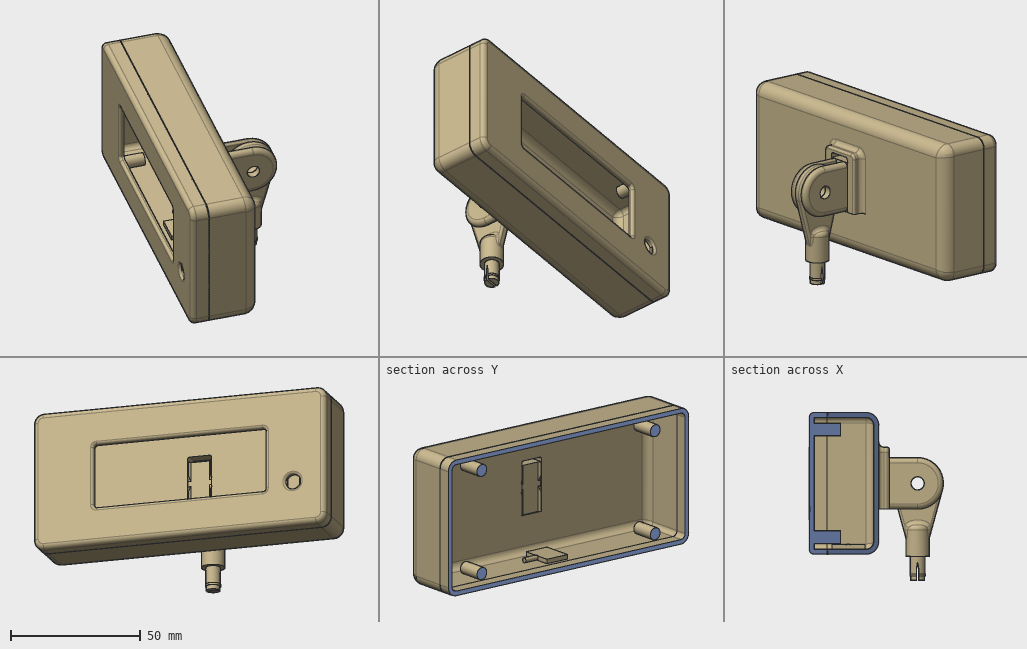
import cadquery as cq
import math


case_width = 119.0
case_depth = 27.0
case_height = 55.0
case_corner_radius = 4.0
front_edge_radius = 2.0
back_edge_radius = 5.0
seam_y = 7.0
wall = 2.0
seam_groove_width = 0.2
seam_groove_depth = wall / 2
cover_thickness = wall
cavity_edge_radius = back_edge_radius - wall
cavity_back_y = case_depth - wall
cavity_width = case_width - 2 * wall
cavity_height = case_height - 2 * wall
cavity_floor_z = -cavity_height / 2
cavity_corner_radius = case_corner_radius - wall

window_width = 70.0
window_height = 25.5
window_corner_radius = 1.2
window_edge_radius = 1.2

port_x = 46.0
port_z = -9.9
port_diameter = 6.0
port_flat_width = 5.0
port_edge_radius = 1.0
port_flat_start_y = 1.1

post_diameter = 5.0
post_end_y = 12.3
post_x = 42.8
post_z = 20.8

block_width = 10.2
block_height = 1.8
block_x = -0.2
block_back_y = 21.7
rod_diameter = 2.0
rod_length = 6.1
rod_y = 15.2
block_depth = 2 * (block_back_y - rod_y)

overall_height = 65.0
hinge_radius = 10.0
pivot_diameter = 5.0
pivot_y = 42.0
clevis_width = 9.8
clevis_gap = 3.8
ear_outer_radius = 2.0
ear_inner_radius = 0.8

pad_width = 18.1
pad_top_z = 14.0
pad_bottom_z = -hinge_radius
pad_thickness = 4.0
pad_corner_radius = 2.0
pad_rim_radius = 1.0
pad_root_radius = 2.0
pad_trim_length = 6.0
pad_embed = wall / 2
pad_face_y = case_depth + pad_thickness
slot_top_z = 12.0
slot_corner_radius = 1.0

groove_floor_width = 7.5
groove_mouth_width = 9.0
groove_depth = 0.7
notch_z = 1.3
notch_floor_height = 2.1
notch_mouth_height = 6.2

tongue_thickness = 3.6
tongue_edge_radius = 1.0
tongue_taper = math.radians(15.3)
tongue_bottom_z = -25.0
socket_diameter = 9.2
socket_top_z = -16.0
socket_bottom_z = -28.2
socket_edge_radius = 2.0
socket_root_radius = 2.0
plug_diameter = 5.8
collar_diameter = 6.0
tip_diameter = 5.5
plug_bottom_z = case_height / 2 - overall_height
tip_length = 1.7
collar_height = 0.8
collar_bottom_z = plug_bottom_z + tip_length
collar_top_z = collar_bottom_z + collar_height
slit_width = 0.8
slit_height = 6.9
slit_taper_height = 2.7

pick_margin = 0.1


def xz_plane(y):
    """Workplane at depth y whose extrusions run toward +Y; its local x is -X and its local y is Z."""
    return cq.Workplane(cq.Plane(origin=(0, y, 0), xDir=(-1, 0, 0), normal=(0, 1, 0)))


def box_between(x_range, y_range, z_range):
    size = [high - low for low, high in (x_range, y_range, z_range)]
    corner = cq.Vector(x_range[0], y_range[0], z_range[0])
    return cq.Workplane(cq.Solid.makeBox(*size, corner))


def case_block():
    """Outer form of the closed case, rounded on every edge."""
    block = xz_plane(0).rect(case_width, case_height).extrude(case_depth)
    block = block.faces(">Y").edges().fillet(back_edge_radius)
    block = block.edges("|Y").fillet(case_corner_radius)
    return block.faces("<Y").edges().fillet(front_edge_radius)


def case_cavity():
    """Hollow shared by the cover and the shell."""
    cavity = xz_plane(cover_thickness).rect(cavity_width, cavity_height)
    cavity = cavity.extrude(cavity_back_y - cover_thickness)
    cavity = cavity.faces(">Y").edges().fillet(cavity_edge_radius)
    return cavity.edges("|Y").fillet(cavity_corner_radius)


def case_half(y_range):
    """Hollow part of the case between two depths."""
    reach = case_width
    half_space = box_between((-reach, reach), y_range, (-reach, reach))
    return case_block().cut(case_cavity()).intersect(half_space)


def round_front_opening(cover, centre, width, height, radius):
    """Round the front rim of an opening of the given size."""
    x, z = centre
    rim = cq.selectors.BoxSelector(
        (x - width / 2 - pick_margin, -pick_margin, z - height / 2 - pick_margin),
        (x + width / 2 + pick_margin, pick_margin, z + height / 2 + pick_margin),
    )
    return cover.edges(rim).fillet(radius)


def connector_port():
    """Port hole: round at its mouth, narrowed by two flats behind it."""
    port = xz_plane(0).center(-port_x, port_z).circle(port_diameter / 2)
    port = port.extrude(cover_thickness)
    flats = xz_plane(port_flat_start_y).center(-port_x, port_z).rect(port_flat_width, port_diameter)
    flats = flats.extrude(cover_thickness - port_flat_start_y)
    port_mouth = box_between(
        (port_x - port_diameter, port_x + port_diameter),
        (0, port_flat_start_y),
        (port_z - port_diameter, port_z + port_diameter),
    )
    return port.intersect(flats.union(port_mouth))


def make_cover():
    cover = case_half((0, seam_y))
    window = xz_plane(0).rect(window_width, window_height).extrude(cover_thickness)
    cover = cover.cut(window.edges("|Y").fillet(window_corner_radius))
    cover = cover.cut(connector_port())

    cover = round_front_opening(cover, (0, 0), window_width, window_height, window_edge_radius)
    cover = round_front_opening(cover, (port_x, port_z), port_diameter, port_diameter, port_edge_radius)

    for x in (-post_x, post_x):
        for z in (-post_z, post_z):
            post = xz_plane(cover_thickness).center(-x, z).circle(post_diameter / 2)
            cover = cover.union(post.extrude(post_end_y - cover_thickness))
    return cover


def pad_on(shell):
    """Add the mounting pad: rim and root rounded on its top and sides, cut off flat at its bottom."""
    pad_height = pad_top_z - pad_bottom_z + pad_trim_length
    pad = xz_plane(case_depth - pad_embed).center(0, pad_top_z - pad_height / 2)
    pad = pad.rect(pad_width, pad_height).extrude(pad_thickness + pad_embed)
    pad = pad.edges("|Y").fillet(pad_corner_radius)
    pad = pad.faces(">Y").edges().fillet(pad_rim_radius)
    root = cq.selectors.BoxSelector(
        (-pad_width / 2 - pick_margin, case_depth - pick_margin, pad_top_z - pad_height - pick_margin),
        (pad_width / 2 + pick_margin, case_depth + pick_margin, pad_top_z + pick_margin),
    )
    shell = shell.union(pad).edges(root).fillet(pad_root_radius)
    below_pad = box_between(
        (-pad_width, pad_width), (case_depth, pad_face_y), (-case_height / 2, pad_bottom_z)
    )
    return shell.cut(below_pad)


def clevis_slot():
    slot_height = slot_top_z - pad_bottom_z
    slot = xz_plane(cavity_back_y).center(0, pad_bottom_z + slot_height / 2)
    slot = slot.rect(clevis_width, slot_height).extrude(pad_face_y - cavity_back_y)
    return slot.edges("|Y and >Z").fillet(slot_corner_radius)


def switch_block():
    """Block on the cavity floor with a rod standing out of its left side."""
    left_x = block_x - block_width / 2
    block = box_between(
        (left_x, left_x + block_width),
        (block_back_y - block_depth, block_back_y),
        (cavity_floor_z, cavity_floor_z + block_height),
    )
    rod = cq.Workplane("YZ", origin=(left_x - rod_length, rod_y, cavity_floor_z + rod_diameter / 2))
    return block.union(rod.circle(rod_diameter / 2).extrude(rod_length))


def seam_groove():
    """Shallow groove around the case where the shell meets the cover."""
    outer = xz_plane(seam_y).rect(case_width, case_height).extrude(seam_groove_width)
    inner_width = case_width - 2 * seam_groove_depth
    inner_height = case_height - 2 * seam_groove_depth
    inner = xz_plane(seam_y).rect(inner_width, inner_height).extrude(seam_groove_width)
    return outer.cut(inner.edges("|Y").fillet(case_corner_radius - seam_groove_depth))


def make_shell():
    shell = case_half((seam_y, case_depth))
    shell = pad_on(shell)
    shell = shell.cut(clevis_slot()).cut(seam_groove())
    return shell.union(switch_block())


def pivot_hole():
    """Bore along X through both ears and the tongue."""
    bore = cq.Workplane("YZ", origin=(-clevis_width / 2, pivot_y, 0))
    return bore.circle(pivot_diameter / 2).extrude(clevis_width)


def ear(x_low, x_high):
    """One clevis ear with a round end, reaching from the pad face to past the pivot."""
    lug = cq.Workplane("YZ", origin=(x_low, 0, 0))
    lug = lug.moveTo(pad_face_y, -hinge_radius)
    lug = lug.lineTo(pivot_y, -hinge_radius)
    lug = lug.threePointArc((pivot_y + hinge_radius, 0), (pivot_y, hinge_radius))
    lug = lug.lineTo(pad_face_y, hinge_radius).close().extrude(x_high - x_low)
    outer, inner = ("<X", ">X") if x_low < 0 else (">X", "<X")
    lug = lug.faces(outer).edges("not <Y").fillet(ear_outer_radius)
    return lug.faces(inner).edges("not <Y").fillet(ear_inner_radius)


def groove_prism(y_floor):
    """Tapered groove along Z in the clevis front face."""
    groove = cq.Workplane("XY", origin=(0, 0, -hinge_radius))
    half_mouth = groove_mouth_width / 2
    half_floor = groove_floor_width / 2
    groove = groove.polyline([
        (-half_mouth, cavity_back_y), (half_mouth, cavity_back_y),
        (half_floor, y_floor), (-half_floor, y_floor),
    ])
    return groove.close().extrude(2 * hinge_radius)


def notch_prism(y_floor):
    """Tapered notch across the clevis front face, through both walls of the groove."""
    notch = cq.Workplane("YZ", origin=(-clevis_width / 2, 0, 0))
    notch = notch.polyline([
        (cavity_back_y, notch_z - notch_mouth_height / 2),
        (cavity_back_y, notch_z + notch_mouth_height / 2),
        (y_floor, notch_z + notch_floor_height / 2),
        (y_floor, notch_z - notch_floor_height / 2),
    ])
    return notch.close().extrude(clevis_width)


def make_clevis():
    half_width = clevis_width / 2
    half_gap = clevis_gap / 2
    clevis = box_between(
        (-half_width, half_width), (cavity_back_y, pad_face_y), (-hinge_radius, hinge_radius)
    )
    clevis = clevis.union(ear(-half_width, -half_gap)).union(ear(half_gap, half_width))
    groove_floor_y = cavity_back_y + groove_depth
    clevis = clevis.cut(groove_prism(groove_floor_y)).cut(notch_prism(groove_floor_y))
    return clevis.cut(pivot_hole())


def tongue():
    """Round-ended tongue narrowing toward the socket along the tangents of its round end."""
    tangent_y = hinge_radius * math.cos(tongue_taper)
    tangent_z = -hinge_radius * math.sin(tongue_taper)
    bottom_y = tangent_y - (tangent_z - tongue_bottom_z) * math.tan(tongue_taper)
    blade = cq.Workplane("YZ", origin=(-tongue_thickness / 2, pivot_y, 0))
    blade = blade.moveTo(-bottom_y, tongue_bottom_z).lineTo(-tangent_y, tangent_z)
    blade = blade.threePointArc((0, hinge_radius), (tangent_y, tangent_z))
    blade = blade.lineTo(bottom_y, tongue_bottom_z).close().extrude(tongue_thickness)
    return blade.faces("<X or >X").edges("not <Z").fillet(tongue_edge_radius)


def plug():
    """Split plug below the socket, with a slight collar above its tip."""
    stations = [
        (plug_diameter, socket_bottom_z, collar_top_z),
        (collar_diameter, collar_top_z, collar_bottom_z),
        (tip_diameter, collar_bottom_z, plug_bottom_z),
    ]
    body = cq.Workplane("XY")
    for diameter, top_z, bottom_z in stations:
        section = cq.Workplane("XY", origin=(0, pivot_y, bottom_z))
        body = body.union(section.circle(diameter / 2).extrude(top_z - bottom_z))

    slit = cq.Workplane("YZ", origin=(-collar_diameter / 2, pivot_y, plug_bottom_z))
    shoulder = slit_height - slit_taper_height
    slit = slit.polyline([
        (-slit_width / 2, 0), (slit_width / 2, 0),
        (slit_width / 2, shoulder), (0, slit_height), (-slit_width / 2, shoulder),
    ])
    return body.cut(slit.close().extrude(collar_diameter))


def make_arm():
    socket = cq.Workplane("XY", origin=(0, pivot_y, socket_bottom_z))
    socket = socket.circle(socket_diameter / 2).extrude(socket_top_z - socket_bottom_z)
    socket = socket.faces(">Z").edges().fillet(socket_edge_radius)
    arm = tongue().union(socket)
    arm = arm.edges("|Y").fillet(socket_root_radius)
    arm = arm.union(plug())
    return arm.cut(pivot_hole())


cover = make_cover()
shell = make_shell()
clevis = make_clevis()
arm = make_arm()

result = cq.Compound.makeCompound([cover.val(), shell.val(), clevis.val(), arm.val()])